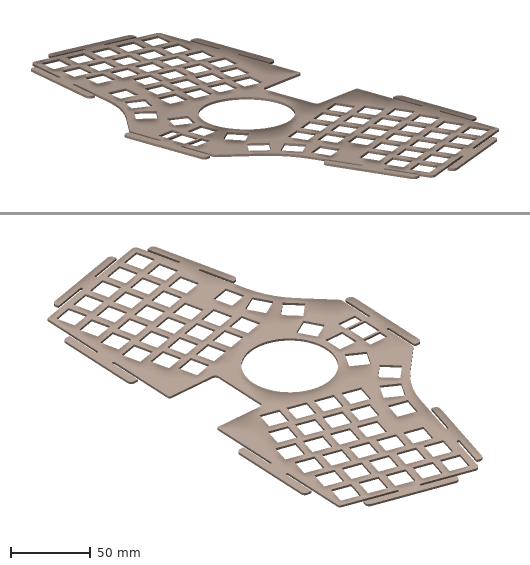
import cadquery as cq
import math

thickness = 1.6
opening_diameter = 61.0

tilt = 15.0

key_size = 14.0
key_pitch = 19.0
first_column = -144.5
columns = [(31.0, 5), (33.5, 5), (38.0, 5), (42.2, 4), (38.0, 4), (34.8, 4)]
thumb_keys = [
    (-83.5, -21.8, tilt),
    (-64.0, -30.0, 2 * tilt),
    (-46.5, -43.2, 3 * tilt),
    (-22.8, -37.0, 2 * tilt),
]

upper_center_key_y = -43.0
lower_center_key_y = upper_center_key_y - key_pitch
stabilizer_x = 12.0
stabilizer_rise = 1.0
stabilizer_y = lower_center_key_y + stabilizer_rise
stabilizer_width = 7.0

body_top = 80.7
body_bottom = -73.0
body_side = -156.5
body_lower_edge = -57.0
bottom_half_width = 34.8
waist_radius = 63.5
top_corner_radius = 1.7
lower_corner_radius = 3.0
notch_half_width = 22.8
notch_floor = 42.0
notch_floor_radius = 3.0
notch_top_radius = 1.5

tab_length = 65.3
tab_depth = 6.0
tilted_tab_depth = 5.0
tab_gap = 2.0
tab_neck = 14.7
tab_corner_radius = 3.0
top_tab_x = -83.5
side_tab_along = -7.0
lower_tab_across = -115.2
bottom_tab_length = 67.5
bottom_tab_neck = 17.0
bottom_tab_inner_radius = 1.7


def tilted(across, along):
    """Turn a position in the tilted frame of the left half into x, y."""
    turn = math.radians(-tilt)
    x = across * math.cos(turn) - along * math.sin(turn)
    y = across * math.sin(turn) + along * math.cos(turn)
    return x, y


def block(width, height, x, y, clockwise=0):
    """Plate-thick rectangle centred on x, y."""
    shape = cq.Workplane("XY").rect(width, height).extrude(thickness)
    return shape.rotate((0, 0, 0), (0, 0, 1), -clockwise).translate((x, y, 0))


def with_mirror(shape):
    """Join a left-half shape with its mirror image on the right."""
    return shape.union(shape.mirror("YZ"))


def corner(outline, x, y, radius):
    """Round the vertical edge of the outline nearest to x, y."""
    return outline.edges("|Z").edges(cq.NearestToPointSelector((x, y, thickness / 2))).fillet(radius)


def body():
    """Plate outline without the tabs, built as the left half and mirrored."""
    cosine = math.cos(math.radians(tilt))
    sine = math.sin(math.radians(tilt))
    top_corner = ((body_side + body_top * sine) / cosine, body_top)
    lower_corner = tilted(body_side, body_lower_edge)
    diagonal_sum = body_bottom - bottom_half_width
    waist_x = (body_lower_edge - diagonal_sum * cosine) / (sine - cosine)
    waist = (waist_x, diagonal_sum - waist_x)
    notch_top = (-notch_half_width, body_top)
    notch_corner = (-notch_half_width, notch_floor)
    half = (
        cq.Workplane("XY")
        .polyline([
            (0, notch_floor), notch_corner, notch_top, top_corner, lower_corner,
            waist, (-bottom_half_width, body_bottom), (0, body_bottom),
        ])
        .close()
        .extrude(thickness)
    )
    rounded_corners = [
        (notch_corner, notch_floor_radius),
        (notch_top, notch_top_radius),
        (top_corner, top_corner_radius),
        (lower_corner, lower_corner_radius),
        (waist, waist_radius),
    ]
    for (x, y), radius in rounded_corners:
        half = corner(half, x, y, radius)
    return with_mirror(half)


def tab(length, depth, neck, edge_x, edge_y, clockwise):
    """Tab standing out from the body edge; unturned, it points up (+Y)."""
    reach = tab_gap + depth
    shape = block(length, reach, 0, reach / 2)
    shape = shape.edges("|Z and >Y").fillet(tab_corner_radius)
    slots = (
        cq.Workplane("XY")
        .pushPoints([(-length / 2, tab_gap / 2), (length / 2, tab_gap / 2)])
        .slot2D(length - neck, tab_gap)
        .extrude(thickness)
    )
    shape = shape.cut(slots)
    return shape.rotate((0, 0, 0), (0, 0, 1), -clockwise).translate((edge_x, edge_y, 0))


def tabs():
    """Three tabs on each half and one on the bottom edge."""
    left = tab(tab_length, tab_depth, tab_neck, top_tab_x, body_top, 0)
    tilted_places = [
        (tilted(body_side, side_tab_along), tilt - 90),
        (tilted(lower_tab_across, body_lower_edge), tilt + 180),
    ]
    for (x, y), clockwise in tilted_places:
        left = left.union(tab(tab_length, tilted_tab_depth, tab_neck, x, y, clockwise))
    bottom = tab(bottom_tab_length, tab_depth, bottom_tab_neck, 0, body_bottom, 180)
    inner_y = body_bottom - tab_gap
    for end_x in (-bottom_tab_length / 2, bottom_tab_length / 2):
        bottom = corner(bottom, end_x, inner_y, bottom_tab_inner_radius)
    return with_mirror(left).union(bottom)


def key_holes():
    """Solids to cut for every key and for the stabilizer slots."""
    places = list(thumb_keys)
    for index, (top_key, count) in enumerate(columns):
        for row in range(count):
            x, y = tilted(first_column + index * key_pitch, top_key - row * key_pitch)
            places.append((x, y, tilt))
    holes = block(stabilizer_width, key_size, -stabilizer_x, stabilizer_y)
    for x, y, clockwise in places:
        holes = holes.union(block(key_size, key_size, x, y, clockwise))
    holes = with_mirror(holes)
    for y in (upper_center_key_y, lower_center_key_y):
        holes = holes.union(block(key_size, key_size, 0, y))
    return holes


opening = cq.Workplane("XY").circle(opening_diameter / 2).extrude(thickness)
result = body().union(tabs()).cut(opening).cut(key_holes())